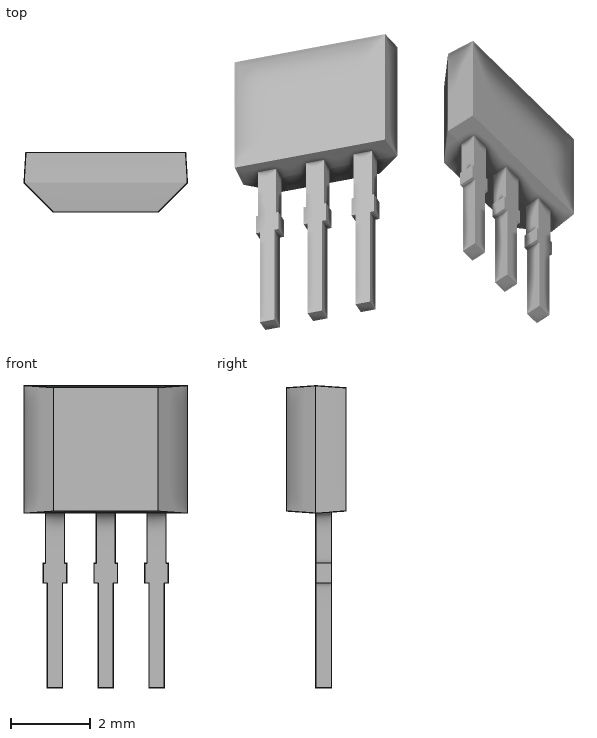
import cadquery as cq

TOTAL_HEIGHT = 7.58

HOUSING_WIDTH = 4.1
HOUSING_HEIGHT = 3.2
HOUSING_DEPTH = 1.5
FRONT_DEPTH = 0.735
BACK_DEPTH = HOUSING_DEPTH - FRONT_DEPTH
SIDE_BEVEL = FRONT_DEPTH
BACK_SIDE_DRAFT = 0.045
END_DRAFT = 0.05
HOUSING_BOTTOM = TOTAL_HEIGHT - HOUSING_HEIGHT
HOUSING_MIDDLE = TOTAL_HEIGHT - HOUSING_HEIGHT / 2

LEAD_COUNT = 3
LEAD_PITCH = 1.27
LEAD_THICKNESS = 0.4
TIP_WIDTH = 0.39
SHOULDER_WIDTH = 0.6
ROOT_WIDTH = 0.485
SHOULDER_BOTTOM = 2.63
SHOULDER_TOP = 3.13


def tapered_half(depth, side_inset, direction):
    """Loft from the parting plane to a smaller outer face; direction is +1 for +Y, -1 for -Y."""
    outer_width = HOUSING_WIDTH - 2 * side_inset
    outer_height = HOUSING_HEIGHT - 2 * END_DRAFT
    plane = cq.Plane(origin=(0, 0, HOUSING_MIDDLE), xDir=(1, 0, 0), normal=(0, direction, 0))
    return (
        cq.Workplane(plane)
        .rect(HOUSING_WIDTH, HOUSING_HEIGHT)
        .workplane(offset=depth)
        .rect(outer_width, outer_height)
        .loft(ruled=True)
    )


def make_housing():
    """Join the bevelled front half and the drafted back half at the parting plane."""
    front = tapered_half(FRONT_DEPTH, SIDE_BEVEL, -1)
    back = tapered_half(BACK_DEPTH, BACK_SIDE_DRAFT, 1)
    return front.union(back)


def lead_section(center_x, width, bottom, top):
    """Rectangular length of lead whose front face lies on the parting plane."""
    return (
        cq.Workplane("XY")
        .box(width, LEAD_THICKNESS, top - bottom, centered=(True, False, False))
        .translate((center_x, 0, bottom))
    )


def make_lead(center_x, housing):
    """Stepped lead, trimmed at the top to meet the drafted underside of the housing."""
    tip = lead_section(center_x, TIP_WIDTH, 0, SHOULDER_BOTTOM)
    shoulder = lead_section(center_x, SHOULDER_WIDTH, SHOULDER_BOTTOM, SHOULDER_TOP)
    root = lead_section(center_x, ROOT_WIDTH, SHOULDER_TOP, HOUSING_BOTTOM + END_DRAFT)
    return tip.union(shoulder).union(root).cut(housing).solids()


housing = make_housing()

leads = []
for index in range(LEAD_COUNT):
    lead_x = (index - (LEAD_COUNT - 1) / 2) * LEAD_PITCH
    leads.append(make_lead(lead_x, housing).val())

result = cq.Compound.makeCompound([housing.val(), *leads])